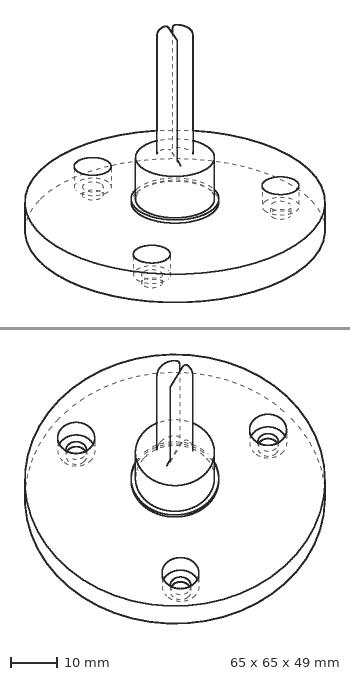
import cadquery as cq

FLANGE_DIAMETER = 65.0
FLANGE_THICKNESS = 7.0

HOLE_COUNT = 3
HOLE_CIRCLE_RADIUS = 24.0
HOLE_DIAMETER = 4.5
COUNTERBORE_DIAMETER = 8.0
COUNTERBORE_DEPTH = 5.0
FIRST_HOLE_ANGLE = 90.0

COLLAR_DIAMETER = 19.0
COLLAR_HEIGHT = 0.8
HUB_DIAMETER = 17.1
HUB_HEIGHT = 11.0

TOTAL_HEIGHT = 49.0
PIN_DIAMETER = 7.8
GAP_WIDTH = 0.8
PRONG_EDGE_RADIUS = 0.8
PRONG_FOOT_RADIUS = 1.0

HUB_TOP = FLANGE_THICKNESS + HUB_HEIGHT
PRONG_LENGTH = TOTAL_HEIGHT - HUB_TOP

SELECTION_MARGIN = 0.1


def make_flange():
    """Round flange with counterbored holes evenly spaced on a circle."""
    flange = cq.Workplane("XY").circle(FLANGE_DIAMETER / 2).extrude(FLANGE_THICKNESS)
    return (
        flange.faces(">Z")
        .workplane()
        .polarArray(HOLE_CIRCLE_RADIUS, FIRST_HOLE_ANGLE, 360, HOLE_COUNT)
        .cboreHole(HOLE_DIAMETER, COUNTERBORE_DIAMETER, COUNTERBORE_DEPTH)
    )


def make_hub():
    """Cylindrical hub with its collar, standing on the flange."""
    flange_top = cq.Workplane("XY").workplane(offset=FLANGE_THICKNESS)
    collar = flange_top.circle(COLLAR_DIAMETER / 2).extrude(COLLAR_HEIGHT)
    hub = flange_top.circle(HUB_DIAMETER / 2).extrude(HUB_HEIGHT)
    return hub.union(collar)


def add_prong(hub):
    """Add to the hub the +Y prong, with rounded edges and a flared foot."""
    hub_top = cq.Workplane("XY").workplane(offset=HUB_TOP)
    gap_side = (
        hub_top.center(0, GAP_WIDTH / 2 + PIN_DIAMETER / 2)
        .rect(PIN_DIAMETER, PIN_DIAMETER)
        .extrude(PRONG_LENGTH)
    )
    prong = hub_top.circle(PIN_DIAMETER / 2).extrude(PRONG_LENGTH).intersect(gap_side)
    prong = prong.edges("|Z").fillet(PRONG_EDGE_RADIUS)
    prong = prong.faces(">Z").edges().fillet(PRONG_EDGE_RADIUS)

    foot_zone = cq.selectors.BoxSelector(
        (-PIN_DIAMETER / 2, 0, HUB_TOP - SELECTION_MARGIN),
        (PIN_DIAMETER / 2, PIN_DIAMETER, HUB_TOP + SELECTION_MARGIN),
        boundingbox=True,
    )
    return hub.union(prong).edges(foot_zone).fillet(PRONG_FOOT_RADIUS)


plain_hub = make_hub()
back_prong = add_prong(plain_hub)
front_prong = back_prong.mirror("XZ")

result = make_flange().union(back_prong).union(front_prong)